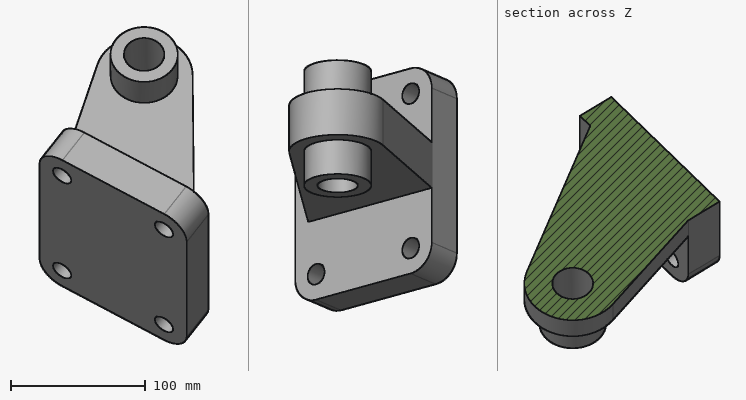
import cadquery as cq
import math

plate_width = 130.0
plate_thickness = 30.0
plate_height = 162.0
corner_radius = 20.0
bolt_diameter = 16.0

arm_end_radius = 36.0
arm_thickness = 36.0
arm_root_right = 117.5
hub_diameter = 50.0
hub_length = 90.0
bore_diameter = 30.0
hub_x = 5.1
overall_depth = 171.0
hub_y = overall_depth - arm_end_radius


def tangent_point(root_x, side):
    """Point where a line from the arm root touches the round arm end.

    side is +1 for the right flank and -1 for the left flank.
    """
    dx = root_x - hub_x
    dy = plate_thickness - hub_y
    root_angle = math.atan2(dy, dx)
    spread = math.acos(arm_end_radius / math.hypot(dx, dy))
    angle = root_angle + side * spread
    return (
        hub_x + arm_end_radius * math.cos(angle),
        hub_y + arm_end_radius * math.sin(angle),
    )


def make_plate():
    bolt_spacing_x = plate_width - 2 * corner_radius
    bolt_spacing_z = plate_height - 2 * corner_radius
    return (
        cq.Workplane("XY")
        .box(plate_width, plate_thickness, plate_height)
        .edges("|Y")
        .fillet(corner_radius)
        .faces("<Y")
        .workplane()
        .rect(bolt_spacing_x, bolt_spacing_z, forConstruction=True)
        .vertices()
        .hole(bolt_diameter)
        .translate((plate_width / 2, plate_thickness / 2, 0))
    )


def make_arm():
    arm_tip = (hub_x, hub_y + arm_end_radius)
    return (
        cq.Workplane("XY")
        .moveTo(0, plate_thickness)
        .lineTo(arm_root_right, plate_thickness)
        .lineTo(*tangent_point(arm_root_right, 1))
        .threePointArc(arm_tip, tangent_point(0, -1))
        .close()
        .extrude(arm_thickness / 2, both=True)
    )


def hub_cylinder(diameter):
    return (
        cq.Workplane("XY")
        .center(hub_x, hub_y)
        .circle(diameter / 2)
        .extrude(hub_length / 2, both=True)
    )


body = make_plate().union(make_arm()).union(hub_cylinder(hub_diameter))
result = body.cut(hub_cylinder(bore_diameter))